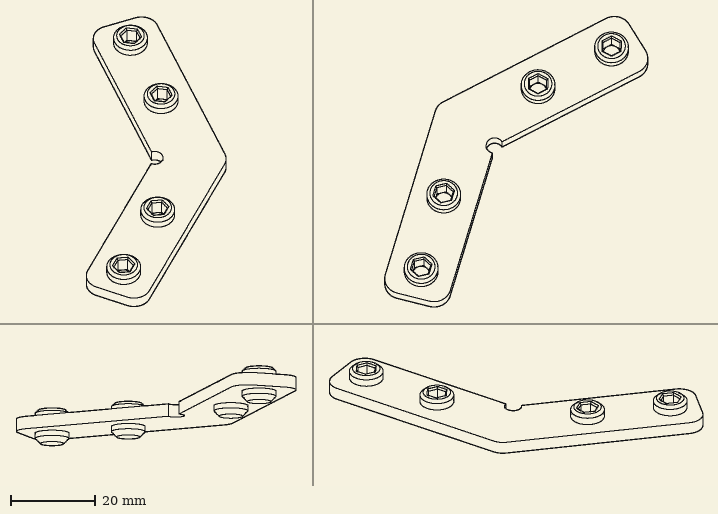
import cadquery as cq
import math

overall_length = 83.7
arm_width = 16.0
bend_angle = 45.0
plate_thickness = 3.0
corner_radius = 4.0
relief_radius = 2.0

end_distance = 7.0
screw_pitch = 20.0

screw_diameter = 8.0
screw_length = 8.0
head_chamfer = 0.75
point_chamfer = 1.25

socket_across_flats = 4.0
socket_mouth_chamfer = 0.29
socket_mouth_depth = 0.5
socket_depth = 4.0
drill_point_angle = 120.0

bend = math.radians(bend_angle)
bent_corner_rise = (arm_width - corner_radius) * math.sin(bend) + corner_radius * (1 - math.cos(bend))
inner_edge = (overall_length - bent_corner_rise) / (1 + math.cos(bend))
outer_edge_extra = arm_width * math.tan(bend / 2)

first_screw = inner_edge - end_distance
screw_distances = [first_screw, first_screw - screw_pitch]


def bent_arm_point(along, across):
    """Point on the bent arm, from the inside of the bend: along the arm and across its width."""
    x = -along * math.sin(bend) + across * math.cos(bend)
    y = along * math.cos(bend) + across * math.sin(bend)
    return (x, y)


screw_places = []
screw_offset = arm_width / 2
for distance in screw_distances:
    screw_places.append((screw_offset, -distance, 0.0))
    screw_places.append((*bent_arm_point(distance, screw_offset), bend_angle))


def make_plate():
    """Bent plate with rounded corners, a relief notch inside the bend and the screw holes."""
    outline = [
        (0, 0),
        (0, -inner_edge),
        (arm_width, -inner_edge),
        (arm_width, outer_edge_extra),
        bent_arm_point(inner_edge, arm_width),
        bent_arm_point(inner_edge, 0),
    ]
    blank = (
        cq.Workplane("XY")
        .polyline(outline)
        .close()
        .extrude(plate_thickness / 2, both=True)
    )
    outer_corners = blank.edges("|Z").filter(lambda edge: edge.Center().Length > relief_radius)
    rounded = outer_corners.fillet(corner_radius)
    relief = cq.Workplane("XY").circle(relief_radius).extrude(plate_thickness, both=True)
    holes = (
        cq.Workplane("XY")
        .pushPoints([(x, y) for x, y, _ in screw_places])
        .circle(screw_diameter / 2)
        .extrude(plate_thickness, both=True)
    )
    return rounded.cut(relief).cut(holes)


def hexagon(height, across_flats):
    """Hexagon sketched at the given height, with two of its flats square to X."""
    return cq.Workplane("XY", origin=(0, 0, height)).polygon(6, across_flats, circumscribed=True)


def make_socket(top):
    """Cutter for the screw socket, opening at the height top."""
    mouth_across_flats = socket_across_flats + 2 * socket_mouth_chamfer
    mouth_taper = math.degrees(math.atan2(socket_mouth_chamfer, socket_mouth_depth))
    mouth = hexagon(top, mouth_across_flats).extrude(-socket_mouth_depth, taper=mouth_taper)
    bore = hexagon(top, socket_across_flats).extrude(-socket_depth)

    drill_radius = socket_across_flats / 2
    drill_depth = drill_radius / math.tan(math.radians(drill_point_angle / 2))
    floor = top - socket_depth
    drill_point = (
        cq.Workplane("XZ")
        .polyline([(0, floor), (drill_radius, floor), (0, floor - drill_depth)])
        .close()
        .revolve(360, (0, 0), (0, 1))
    )
    return bore.union(mouth).union(drill_point)


def make_set_screw(x, y, rotation):
    """Socket set screw with a chamfered head and a flat chamfered point."""
    body = (
        cq.Workplane("XY")
        .circle(screw_diameter / 2)
        .extrude(screw_length / 2, both=True)
        .faces(">Z").edges().chamfer(head_chamfer)
        .faces("<Z").edges().chamfer(point_chamfer)
    )
    screw = body.cut(make_socket(screw_length / 2))
    return screw.rotate((0, 0, 0), (0, 0, 1), rotation).translate((x, y, 0))


plate = make_plate()
set_screws = [make_set_screw(*place) for place in screw_places]

result = cq.Compound.makeCompound([plate.val(), *[screw.val() for screw in set_screws]])